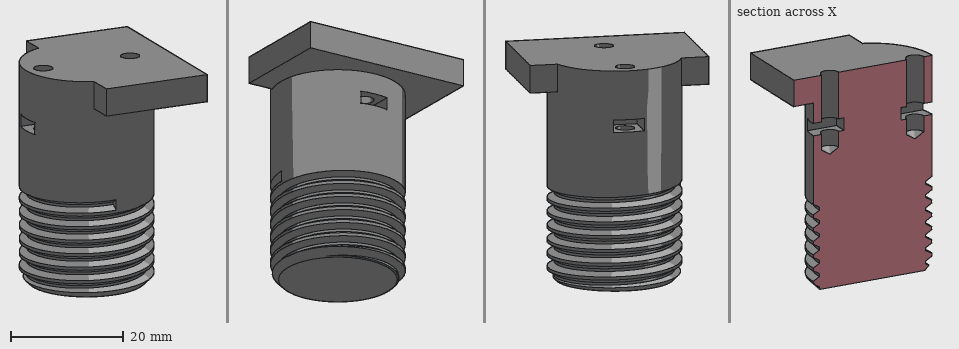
import cadquery as cq
import math

height = 40.6
stem_diameter = 24.05
stem_radius = stem_diameter / 2
end_chamfer = 1.45

plate_width = 32.65
plate_depth = 20.0
plate_thickness = 5.07
overall_depth = 28.0
plate_back = overall_depth - stem_radius

pitch = 2.5
groove_depth = 1.25
root_width = 0.5
flank_angle = math.radians(30)
groove_end_z = 17.25
groove_turns = 8
groove_overcut = 0.4

hole_diameter = 3.4
hole_radius = hole_diameter / 2
hole_offset = 8.6
hole_depth = 14.2
drill_point_angle = math.radians(118)

slot_width = 5.6
slot_height = 2.27
slot_top_z = height - 8.95
slot_inner_y = hole_offset - slot_width / 2


def make_body():
    stem = cq.Workplane("XY").circle(stem_radius).extrude(height)
    stem = stem.faces("<Z").chamfer(end_chamfer)
    plate = cq.Workplane("XY").box(
        plate_width, plate_depth, plate_thickness, centered=(True, False, False)
    )
    plate = plate.translate((0, plate_back - plate_depth, height - plate_thickness))
    return stem.union(plate)


def make_thread_groove():
    """Trapezoidal groove swept upward along a helix, ending on the +X side."""
    length = groove_turns * pitch
    start_z = groove_end_z - length
    root_radius = stem_radius - groove_depth
    outer_radius = stem_radius + groove_overcut
    root_half = root_width / 2
    mouth_half = root_half + (groove_depth + groove_overcut) * math.tan(flank_angle)
    helix = cq.Wire.makeHelix(pitch, length, root_radius, cq.Vector(0, 0, start_z))
    profile = cq.Workplane("XZ").polyline([
        (root_radius, start_z - root_half),
        (outer_radius, start_z - mouth_half),
        (outer_radius, start_z + mouth_half),
        (root_radius, start_z + root_half),
    ]).close()
    return profile.sweep(cq.Workplane(obj=helix), isFrenet=True)


def make_screw_hole(y):
    point_height = hole_radius / math.tan(drill_point_angle / 2)
    profile = (
        cq.Workplane("XZ")
        .moveTo(0, height)
        .lineTo(hole_radius, height)
        .lineTo(hole_radius, height - hole_depth)
        .lineTo(0, height - hole_depth - point_height)
        .close()
    )
    return profile.revolve(360, (0, 0), (0, 1)).translate((0, y, 0))


def make_nut_slot(side):
    slot_length = stem_radius - slot_inner_y
    slot = cq.Workplane("XY").box(slot_width, slot_length, slot_height)
    slot_y = side * (slot_inner_y + slot_length / 2)
    return slot.translate((0, slot_y, slot_top_z - slot_height / 2))


result = make_body().cut(make_thread_groove())
for side in (-1, 1):
    result = result.cut(make_screw_hole(side * hole_offset))
    result = result.cut(make_nut_slot(side))